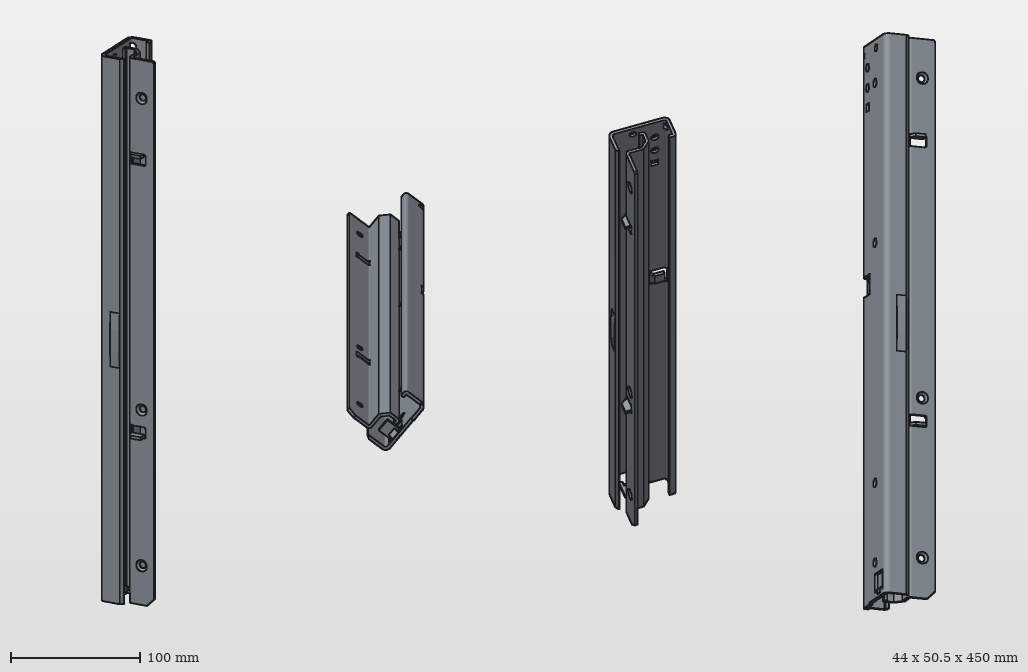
import cadquery as cq
import math

length = 450.0
overall_depth = 50.5
overall_width = 44.0
foot_gap = 1.5

rail_sheet = 2.5
rail_bend = 4.5
rail_width = 20.2
pad_height = 1.0
rail_back = overall_depth - pad_height
lip_bend = 2.5
tip_bevel = 2.0
lip_depth = 6.0
tongue_start = 33.8
tongue_end = 48.0

web_hole_dia = 6.8
web_hole_y = 22.0
web_hole_heights = [30.5, 94.5, 287.0, 415.5]
pilot_dia = 5.5
pilot_y = 20.0
end_hole_z = 443.0
corner_hole_dia = 6.8
corner_hole_x = 3.5
side_row_y = 38.0
side_hole_dia = 6.5
side_hole_heights = [415.5, 431.5]
square_side = 6.0
square_z = 399.5

mid_window_y = 33.5
mid_window_bottom = 249.0
mid_window_top = 265.0
mid_tab_bottom = 251.5
mid_tab_top = 261.0
mid_tab_end = 45.0
mid_tab_step = 3.5

foot_window_y = 14.5
foot_window_width = 16.0
foot_window_bottom = 6.5
foot_window_top = 21.0
foot_tab_width = 11.0
foot_tab_reach = 15.0
gusset_rib_width = 7.0
gusset_recess_width = 5.5

bracket_sheet = 2.48
flange_top = 9.0
flange_bottom = flange_top - bracket_sheet
web_right = 24.5
web_left = web_right - bracket_sheet
hook_left = 8.0
hook_top = 27.5
hook_tip = 22.5
slope_run = 6.5
bracket_bend = 3.0
bracket_bend_inner = bracket_bend - bracket_sheet
hook_bend = 2.2
top_chamfer = 1.5
bottom_chamfer = 6.5

screw_x = 33.5
screw_heights = [33.8, 162.0, 418.5]
screw_dia = 5.5
countersink_dia = 9.5
countersink_angle = 90

slot_left = 23.0
slot_right = 37.0
slot_height = 9.5
slot_corner = 2.0
lower_slot_bottom = 138.5
upper_slot_bottom = 363.0
lug_right = 34.5
lug_tip = 2.2
lug_slant = 3.0

pad_left = 9.5
pad_right = rail_width - lip_bend
pad_bottom = 195.8
pad_top = 240.8
pad_ramp = 13.5


def block(x0, x1, y0, y1, z0, z1):
    """Box between two opposite corners."""
    return cq.Workplane("XY").box(x1 - x0, y1 - y0, z1 - z0, centered=False).translate((x0, y0, z0))


def along_y(points, y_centre, width):
    """Prism from an X-Z outline, centred on y_centre."""
    return cq.Workplane("XZ", origin=(0, y_centre, 0)).polyline(points).close().extrude(width / 2, both=True)


def web_holes(y, heights, diameter):
    """Round cutters along X through the rail web."""
    points = [(y, z) for z in heights]
    return cq.Workplane("YZ", origin=(-rail_sheet, 0, 0)).pushPoints(points).circle(diameter / 2).extrude(
        3 * rail_sheet)


def make_rail_section():
    inner_bend = rail_bend - rail_sheet
    height = length - foot_gap
    outer = (
        block(0, rail_width, 0, rail_back, foot_gap, length)
        .edges("|Z and <X").fillet(rail_bend)
        .edges("|Z and >X and >Y").fillet(lip_bend)
        .edges("|Z and >X and <Y").chamfer(tip_bevel, lip_bend)
    )
    cavity = (
        block(rail_sheet, rail_width - rail_sheet, rail_sheet, rail_back - rail_sheet, foot_gap, length)
        .edges("|Z and <X").fillet(inner_bend)
    )
    mouth = block(rail_width - rail_sheet, rail_width, rail_sheet, rail_back - lip_depth, foot_gap, length)
    rail = outer.cut(cavity).cut(mouth)
    tongue = (
        rail.intersect(block(0, rail_bend, tongue_start, tongue_end, foot_gap, height))
        .translate((0, 0, -foot_gap))
    )
    return rail.union(tongue)


def cut_rail_holes(rail):
    rail = rail.cut(web_holes(web_hole_y, web_hole_heights, web_hole_dia))
    rail = rail.cut(web_holes(pilot_y, [end_hole_z], pilot_dia))
    rail = rail.cut(web_holes(side_row_y, side_hole_heights, side_hole_dia))
    square = (
        cq.Workplane("YZ", origin=(-rail_sheet, 0, 0)).center(side_row_y, square_z)
        .rect(square_side, square_side).extrude(3 * rail_sheet)
    )
    corner = (
        cq.Workplane("XZ", origin=(corner_hole_x, rail_back, end_hole_z))
        .circle(corner_hole_dia / 2).extrude(rail_bend)
    )
    return rail.cut(square).cut(corner)


def add_mid_tab(rail):
    """Window through web and corner bend, with a tab stepped inward by one sheet."""
    rail = rail.cut(block(0, rail_bend, mid_window_y, rail_back, mid_window_bottom, mid_window_top))
    step_end = mid_window_y + mid_tab_step
    tab = (
        cq.Workplane("XY", origin=(0, 0, mid_tab_bottom))
        .polyline([
            (0, mid_window_y),
            (rail_sheet, mid_window_y),
            (2 * rail_sheet, step_end),
            (2 * rail_sheet, mid_tab_end),
            (rail_sheet, mid_tab_end),
            (rail_sheet, step_end),
        ])
        .close().extrude(mid_tab_top - mid_tab_bottom)
    )
    return rail.union(tab)


def add_foot_tab(rail):
    """Window near the bottom whose tab is bent inward and stiffened by a gusset."""
    half = foot_window_width / 2
    rail = rail.cut(block(0, rail_sheet, foot_window_y - half, foot_window_y + half,
                          foot_window_bottom, foot_window_top))
    tab_top = foot_window_bottom + rail_sheet
    half_tab = foot_tab_width / 2
    tab = (
        block(0, foot_tab_reach, foot_window_y - half_tab, foot_window_y + half_tab,
              foot_window_bottom, tab_top)
        .edges("|Y and <X and >Z").fillet(0.95 * rail_sheet)
    )
    rib_leg = rail_sheet * math.sqrt(2)
    rib = along_y(
        [
            (rail_sheet, foot_window_bottom),
            (rail_sheet, foot_window_bottom - rib_leg),
            (rail_sheet + rib_leg, foot_window_bottom),
        ],
        foot_window_y, gusset_rib_width)
    recess = along_y(
        [(0, foot_window_bottom - rail_sheet), (2 * rail_sheet, tab_top), (0, tab_top)],
        foot_window_y, gusset_recess_width)
    return rail.union(tab).union(rib).cut(recess)


def make_rail():
    rail = cut_rail_holes(make_rail_section())
    return add_foot_tab(add_mid_tab(rail))


def make_bracket_section():
    shift = bracket_sheet * math.tan(math.radians(22.5))
    slope_x = web_right - slope_run
    slope_y = hook_top - slope_run
    hook_inner = hook_top - bracket_sheet
    outline = (
        cq.Workplane("XY", origin=(0, 0, foot_gap))
        .moveTo(overall_width, flange_bottom)
        .lineTo(overall_width, flange_top)
        .lineTo(web_right + bracket_bend_inner, flange_top)
        .radiusArc((web_right, flange_top + bracket_bend_inner), bracket_bend_inner)
        .lineTo(web_right, slope_y)
        .lineTo(slope_x, hook_top)
        .lineTo(hook_left + hook_bend, hook_top)
        .radiusArc((hook_left, hook_top - hook_bend), -hook_bend)
        .lineTo(hook_left, hook_tip)
        .lineTo(hook_left + bracket_sheet, hook_tip)
        .lineTo(hook_left + bracket_sheet, hook_inner)
        .lineTo(slope_x - shift, hook_inner)
        .lineTo(web_left, slope_y - shift)
        .lineTo(web_left, flange_bottom + bracket_bend)
        .radiusArc((web_left + bracket_bend, flange_bottom), -bracket_bend)
        .close()
    )
    return outline.extrude(length - foot_gap)


def trim_flange_corners(bracket):
    bracket = bracket.edges("|Y and >X and >Z").chamfer(top_chamfer)
    return bracket.edges("|Y and >X and <Z").chamfer(bottom_chamfer)


def cut_screw_holes(bracket):
    points = [(screw_x, z) for z in screw_heights]
    return (
        cq.Workplane("XZ", origin=(0, flange_bottom, 0)).add(bracket.val())
        .pushPoints(points).cskHole(screw_dia, countersink_dia, countersink_angle)
    )


def add_slot(bracket, bottom, lug_bottom):
    """Slot through flange and bend, with a lug bent toward -Y along one long edge."""
    slot = block(slot_left, slot_right, lug_tip, flange_top + bracket_bend_inner, bottom, bottom + slot_height)
    slot = slot.edges("|Y and >X").fillet(slot_corner)
    lug = (
        cq.Workplane("XY", origin=(0, 0, lug_bottom))
        .polyline([
            (slot_left, flange_top),
            (lug_right, flange_top),
            (lug_right, lug_tip),
            (slot_left + lug_slant, lug_tip),
            (slot_left, flange_bottom),
        ])
        .close().extrude(bracket_sheet)
    )
    return bracket.cut(slot).union(lug)


def make_bracket():
    bracket = cut_screw_holes(trim_flange_corners(make_bracket_section()))
    bracket = add_slot(bracket, lower_slot_bottom, lower_slot_bottom)
    return add_slot(bracket, upper_slot_bottom, upper_slot_bottom + slot_height - bracket_sheet)


def make_pad():
    """Thin plate on the rail flange that ramps up to a flat middle."""
    return (
        cq.Workplane("YZ", origin=(pad_left, 0, 0))
        .polyline([
            (0, pad_bottom),
            (-pad_height, pad_bottom + pad_ramp),
            (-pad_height, pad_top - pad_ramp),
            (0, pad_top),
        ])
        .close().extrude(pad_right - pad_left)
    )


rail = make_rail()
bracket = make_bracket()
pad = make_pad()

result = cq.Compound.makeCompound([rail.val(), bracket.val(), pad.val()])